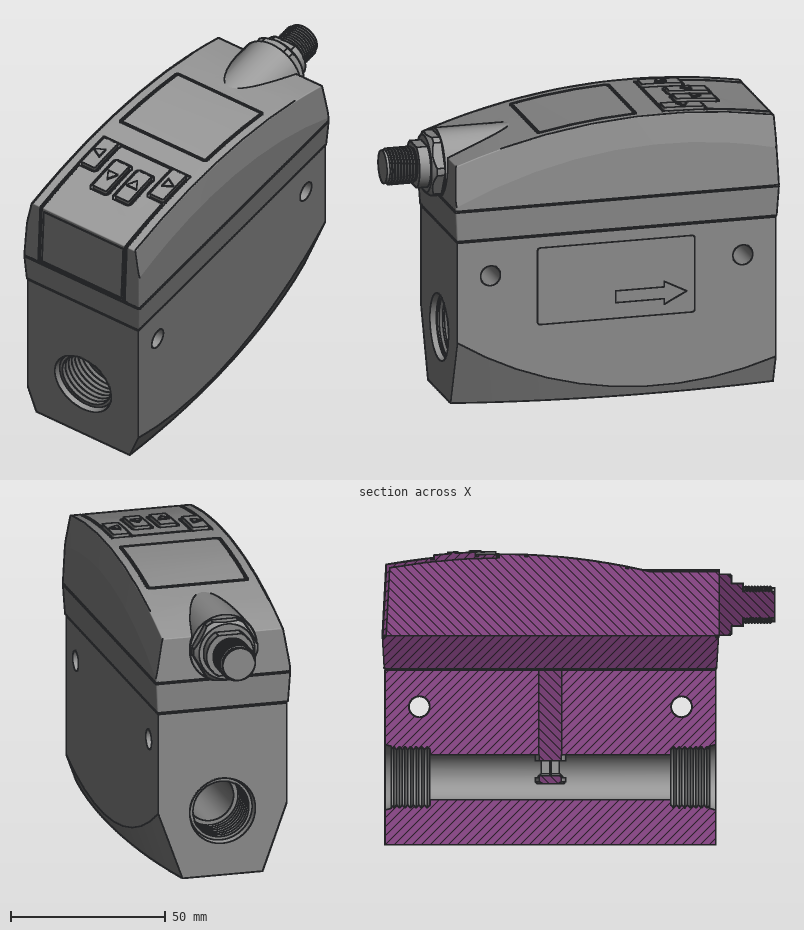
import cadquery as cq
import math


block_width = 43.5
block_length = 107.4
block_height = 56.7

side_cut_low_y = -13.9
side_cut_low_z = 2.85
side_cut_radius = 124.3
side_cut_slope = 0.36

bore_z = 21.9
bore_diameter = 15.9
port_minor_diameter = 18.9
port_major_diameter = 20.9
port_pitch = 1.8
port_turns = 7
port_mouth_diameter = 22.2
port_throat_diameter = 21.1
port_mouth_depth = 2.0

mount_diameter = 6.7
mount_spacing = 85.1
mount_z = 44.8

label_depth = 0.1
label_y = 0.15
label_z = 39.8
label_length = 53.1
label_height = 26.0
label_corner = 1.0
arrow_z = 34.1
arrow_tail_y = 0.25
arrow_neck_y = -16.0
arrow_tip_y = -23.65
arrow_shaft_half = 2.0
arrow_head_half = 3.9

probe_diameter = 9.9
probe_bottom = 19.8
probe_bottom_chamfer = 0.7
probe_window_width = 8.0
probe_window_bottom = 21.8
probe_window_top = 27.2
probe_window_chamfer = 1.3
probe_wire_diameter = 0.5

rim_width = 45.5
rim_length = 109.2
collar_bottom = 57.1
collar_top = 67.3
collar_taper = 0.6
collar_chamfer = 0.35
corner_radius = 0.5

cap_bottom = 67.9
cap_peak_y = -15.9
cap_peak_z = 94.38
cap_radius = 208.0
cap_end_slope = 0.053
cap_side_slope = 0.040
cap_shoulder_slope = 0.176
cap_roof_half_width = 20.4
cap_edge_radius = 0.4

boss_radius = 11.3
boss_z = 77.9
boss_end_y = 54.8
boss_start_y = 20.0

nut_flats = 19.8
nut_diameter = 21.6
nut_length = 4.0
nut_chamfer = 1.4
flange_diameter = 15.9
flange_flats = 13.8
flange_length = 3.7
thread_major_diameter = 12.0
thread_minor_diameter = 10.9
thread_pitch = 1.0
thread_turns = 9
connector_end_y = 72.82

panel_half_width = 17.1
groove_width = 0.8
groove_depth = 0.6
display_back_y = 25.3
display_front_y = -8.2
display_corner = 1.0
keypad_back_y = -16.75
keypad_thickness = 1.2
front_window_half_width = 15.6
front_window_bottom = 68.7
front_window_top = 89.6
front_window_depth = 0.15

button_width = 5.4
button_length = 13.5
button_corner = 0.5
button_rise = 0.8
button_gap = 0.95
outer_button_x = 13.45
inner_button_x = 4.4
outer_button_y = -24.45
inner_button_y = -31.1
mark_rise = 0.41
mark_radius = 2.2

collar_bottom_width = rim_width - 2 * collar_taper
collar_bottom_length = rim_length - 2 * collar_taper
tool_reach = 200.0
headroom = 100.0


def arch_z(y, peak_y, peak_z, radius):
    """Height of a round arch at y; a negative radius makes it a valley."""
    fall = abs(radius) - math.sqrt(radius ** 2 - (y - peak_y) ** 2)
    return peak_z - math.copysign(fall, radius)


def arch_strip(x, half_length, shift_z, base_z, peak_y, peak_z, radius):
    """Closed outline in the plane at x between an arch, moved up by shift_z, and base_z."""
    back_z = arch_z(half_length, peak_y, peak_z, radius) + shift_z
    front_z = arch_z(-half_length, peak_y, peak_z, radius) + shift_z
    return (
        cq.Workplane("YZ", origin=(x, 0, 0))
        .moveTo(-half_length, base_z)
        .lineTo(-half_length, front_z)
        .threePointArc((peak_y, peak_z + shift_z), (half_length, back_z))
        .lineTo(half_length, base_z)
        .close()
        .wire()
        .val()
    )


def swept_arch(x_start, x_end, rise, half_length, base_z, arch):
    """Solid below or above an arch that moves by rise in Z as it goes from x_start to x_end."""
    first = arch_strip(x_start, half_length, 0, base_z, *arch)
    last = arch_strip(x_end, half_length, rise, base_z, *arch)
    return cq.Workplane(cq.Solid.makeLoft([first, last], True))


def mirrored_pair(solid):
    return solid.union(solid.mirror("YZ"))


def frustum(bottom_z, bottom_size, top_z, top_size):
    """Tapered block, centred on Z, with rounded upright corners."""
    return (
        cq.Workplane("XY")
        .workplane(offset=bottom_z)
        .rect(*bottom_size)
        .workplane(offset=top_z - bottom_z)
        .rect(*top_size)
        .loft(ruled=True)
        .edges("not(#Z)")
        .fillet(corner_radius)
    )


def upright_prism(x_min, x_max, y_min, y_max):
    """Tall rectangular prism used to pick out an area of the cap."""
    return (
        cq.Workplane("XY")
        .center((x_min + x_max) / 2, (y_min + y_max) / 2)
        .rect(x_max - x_min, y_max - y_min)
        .extrude(headroom)
    )


def disc(diameter, y_start, y_end, z):
    """Round bar along Y."""
    return cq.Workplane("XZ", origin=(0, y_start, z)).circle(diameter / 2).extrude(y_start - y_end)


def ridged_bar(root_diameter, crest_diameter, pitch, turns, y_start):
    """Round bar along +Y whose surface is a row of pointed ridges."""
    outline = cq.Workplane("XY").moveTo(0, y_start).lineTo(root_diameter / 2, y_start)
    for turn in range(turns):
        foot_y = y_start + turn * pitch
        outline = outline.lineTo(crest_diameter / 2, foot_y + pitch / 2)
        outline = outline.lineTo(root_diameter / 2, foot_y + pitch)
    outline = outline.lineTo(0, y_start + turns * pitch).close()
    return outline.revolve(360, (0, 0, 0), (0, 1, 0))


def side_cut():
    """Tool for the sloping cut along the lower +X side."""
    valley = (side_cut_low_y, side_cut_low_z, -side_cut_radius)
    wall_x = block_width / 2
    inset_x = wall_x / 2
    drop = (wall_x - inset_x) / side_cut_slope
    return swept_arch(wall_x, inset_x, -drop, block_length / 2, -headroom, valley)


def port():
    """Tool for the threaded port at the -Y end."""
    end_y = -block_length / 2
    mouth_run = (port_mouth_diameter - port_throat_diameter) / 2
    mouth_angle = math.degrees(math.atan(mouth_run / port_mouth_depth))
    mouth = (
        cq.Workplane("XZ", origin=(0, end_y, bore_z))
        .circle(port_mouth_diameter / 2)
        .extrude(-port_mouth_depth, taper=mouth_angle)
    )
    thread = ridged_bar(
        port_minor_diameter, port_major_diameter, port_pitch, port_turns, end_y + port_mouth_depth
    )
    return mouth.union(thread.translate((0, 0, bore_z)))


def label():
    """Tool for the sunken label on the -X side, leaving the arrow standing."""
    wall = cq.Workplane("YZ", origin=(-block_width / 2, 0, 0))
    field = (
        wall.center(label_y, label_z)
        .rect(label_length, label_height)
        .extrude(label_depth)
        .edges("|X")
        .fillet(label_corner)
    )
    arrow = (
        wall.moveTo(arrow_tail_y, arrow_z - arrow_shaft_half)
        .lineTo(arrow_neck_y, arrow_z - arrow_shaft_half)
        .lineTo(arrow_neck_y, arrow_z - arrow_head_half)
        .lineTo(arrow_tip_y, arrow_z)
        .lineTo(arrow_neck_y, arrow_z + arrow_head_half)
        .lineTo(arrow_neck_y, arrow_z + arrow_shaft_half)
        .lineTo(arrow_tail_y, arrow_z + arrow_shaft_half)
        .close()
        .extrude(label_depth)
    )
    return field.cut(arrow)


def make_block():
    solid = cq.Workplane("XY").box(block_width, block_length, block_height, centered=(True, True, False))
    solid = solid.cut(mirrored_pair(side_cut()))
    solid = solid.cut(disc(bore_diameter, -block_length / 2, block_length / 2, bore_z))
    solid = solid.cut(port()).cut(port().mirror("XZ"))
    mounts = (
        cq.Workplane("YZ", origin=(-block_width / 2, 0, 0))
        .pushPoints([(-mount_spacing / 2, mount_z), (mount_spacing / 2, mount_z)])
        .circle(mount_diameter / 2)
        .extrude(block_width)
    )
    probe_hole = (
        cq.Workplane("XY", origin=(0, 0, bore_z)).circle(probe_diameter / 2).extrude(block_height - bore_z)
    )
    return solid.cut(mounts).cut(probe_hole).cut(label())


def make_probe():
    """Upright rod through the bore, with a window along the flow and a sensing wire in it."""
    rod = (
        cq.Workplane("XY", origin=(0, 0, probe_bottom))
        .circle(probe_diameter / 2)
        .extrude(block_height - probe_bottom)
        .faces("<Z")
        .chamfer(probe_bottom_chamfer)
    )
    window_height = probe_window_top - probe_window_bottom
    window = (
        cq.Workplane("XY", origin=(0, 0, probe_window_bottom))
        .box(probe_window_width, probe_diameter, window_height, centered=(True, True, False))
        .faces("<Z")
        .edges("|Y")
        .chamfer(probe_window_chamfer)
    )
    wire = (
        cq.Workplane("XY", origin=(0, 0, probe_window_bottom))
        .circle(probe_wire_diameter / 2)
        .extrude(window_height)
    )
    return rod.cut(window).union(wire)


def make_collar():
    """Tapered ring with a low step on top that carries the cap clear of the rim."""
    ring = frustum(
        collar_bottom, (collar_bottom_width, collar_bottom_length), collar_top, (rim_width, rim_length)
    )
    ring = ring.faces("<Z").chamfer(collar_chamfer)
    step = (
        cq.Workplane("XY", origin=(0, 0, collar_top))
        .rect(block_width, block_length)
        .extrude(cap_bottom - collar_top)
    )
    return ring.union(step)


def cap_body():
    """Arched cap with tapered walls and leaning shoulders, before the boss and the keypad."""
    wall_height = headroom - cap_bottom
    walls = frustum(
        cap_bottom,
        (rim_width, rim_length),
        headroom,
        (rim_width - 2 * cap_side_slope * wall_height, rim_length - 2 * cap_end_slope * wall_height),
    )
    arch = (cap_peak_y, cap_peak_z, cap_radius)
    half_length = rim_length / 2
    shoulder_drop = (rim_width / 2 - cap_roof_half_width) / cap_shoulder_slope
    roof = swept_arch(-cap_roof_half_width, cap_roof_half_width, 0, half_length, 0, arch)
    shoulder = swept_arch(cap_roof_half_width, rim_width / 2, -shoulder_drop, half_length, 0, arch)
    solid = walls.intersect(roof.union(mirrored_pair(shoulder)))
    return solid.faces(">Z").edges().fillet(cap_edge_radius)


def cap_core(inset):
    """Space under the roof and behind the front wall of the cap, both moved inwards by inset."""
    front_y = -rim_length / 2 + inset
    top_front_y = front_y + cap_end_slope * (headroom - cap_bottom)
    radius = cap_radius - inset
    peak_z = cap_peak_z - inset
    roof = cq.Workplane(
        cq.Solid.extrudeLinear(
            arch_strip(-rim_width / 2, rim_length / 2, 0, 0, cap_peak_y, peak_z, radius),
            [],
            cq.Vector(rim_width, 0, 0),
        )
    )
    behind_front = (
        cq.Workplane("YZ", origin=(-rim_width / 2, 0, 0))
        .moveTo(front_y, cap_bottom)
        .lineTo(top_front_y, headroom)
        .lineTo(rim_length, headroom)
        .lineTo(rim_length, cap_bottom)
        .close()
        .extrude(rim_width)
    )
    return roof.intersect(behind_front)


def display_groove():
    """Tool for the groove that frames the display."""
    outer = upright_prism(-panel_half_width, panel_half_width, display_front_y, display_back_y)
    outer = outer.edges("|Z").fillet(display_corner)
    inner = upright_prism(
        -panel_half_width + groove_width,
        panel_half_width - groove_width,
        display_front_y + groove_width,
        display_back_y - groove_width,
    )
    return outer.cut(inner).cut(cap_core(groove_depth))


def keypad_area():
    return upright_prism(-panel_half_width, panel_half_width, -rim_length, keypad_back_y)


def make_cap(body):
    """Cap with the connector boss, the display groove and the recess for the keypad."""
    boss = disc(2 * boss_radius, boss_start_y, boss_end_y, boss_z)
    below = cq.Workplane("XY").box(tool_reach, tool_reach, cap_bottom, centered=(True, True, False))
    recess = keypad_area().cut(cap_core(keypad_thickness))
    return body.union(boss.cut(below)).cut(display_groove()).cut(recess)


buttons = [
    (-outer_button_x, outer_button_y, 180),
    (-inner_button_x, inner_button_y, -90),
    (inner_button_x, inner_button_y, 90),
    (outer_button_x, outer_button_y, 0),
]


def button_prism(x, y, margin):
    """Prism over a button's outline, widened all round by margin."""
    half_width = button_width / 2 + margin
    half_length = button_length / 2 + margin
    prism = upright_prism(x - half_width, x + half_width, y - half_length, y + half_length)
    return prism.edges("|Z").fillet(button_corner + margin)


def triangle_prism(x, y, heading):
    corners = []
    for turn in (0, 120, 240):
        angle = math.radians(heading + turn)
        corners.append((x + mark_radius * math.cos(angle), y + mark_radius * math.sin(angle)))
    return cq.Workplane("XY").polyline(corners).close().extrude(headroom)


def make_keypad(body):
    """Overlay bent over the front edge of the cap: a grooved sheet with four raised buttons."""
    groove_floor = cap_core(groove_depth)
    sheet = keypad_area().intersect(body).cut(cap_core(keypad_thickness))
    face_half_width = panel_half_width - groove_width
    face = upright_prism(-face_half_width, face_half_width, -rim_length, keypad_back_y - groove_width)
    sheet = sheet.cut(keypad_area().cut(face).cut(groove_floor))

    window_height = front_window_top - front_window_bottom
    window = cq.Workplane("XY", origin=(0, -rim_length / 2, front_window_bottom)).box(
        2 * front_window_half_width, rim_length, window_height, centered=(True, True, False)
    )
    sheet = sheet.cut(window.cut(cap_core(front_window_depth)))

    for x, y, _ in buttons:
        sheet = sheet.cut(button_prism(x, y, button_gap).cut(groove_floor))
    for x, y, heading in buttons:
        button = button_prism(x, y, 0).intersect(cap_core(-button_rise)).cut(groove_floor)
        mark = triangle_prism(x, y, heading).intersect(cap_core(-button_rise - mark_rise)).cut(groove_floor)
        sheet = sheet.union(button).union(mark)
    return sheet


def make_connector():
    """Hexagon nut, flange with two flats and threaded end, in one piece."""
    nut_end_y = boss_end_y + nut_length
    flange_end_y = nut_end_y + flange_length
    hexagon = (
        cq.Workplane("XZ", origin=(0, boss_end_y, 0))
        .polygon(6, nut_flats, circumscribed=True)
        .extrude(-nut_length)
        .rotate((0, 0, 0), (0, 1, 0), 30)
    )
    nut_envelope = disc(nut_diameter, boss_end_y, nut_end_y, 0)
    nut_envelope = nut_envelope.faces(">Y").chamfer(nut_chamfer)
    nut = hexagon.intersect(nut_envelope)
    flats = cq.Workplane("XY").box(flange_diameter, tool_reach, flange_flats)
    flange = disc(flange_diameter, nut_end_y, flange_end_y, 0).intersect(flats)
    stem = disc(thread_minor_diameter, flange_end_y, connector_end_y, 0)
    thread_start_y = connector_end_y - (thread_turns + 1) * thread_pitch
    thread = ridged_bar(
        thread_minor_diameter, thread_major_diameter, thread_pitch, thread_turns, thread_start_y
    )
    return nut.union(flange).union(stem).union(thread).translate((0, 0, boss_z))


plain_cap = cap_body()
block = make_block()
probe = make_probe()
collar = make_collar()
cap = make_cap(plain_cap)
keypad = make_keypad(plain_cap)
connector = make_connector()

bodies = [block, probe, collar, cap, keypad, connector]
result = cq.Compound.makeCompound([body.solids().val() for body in bodies])